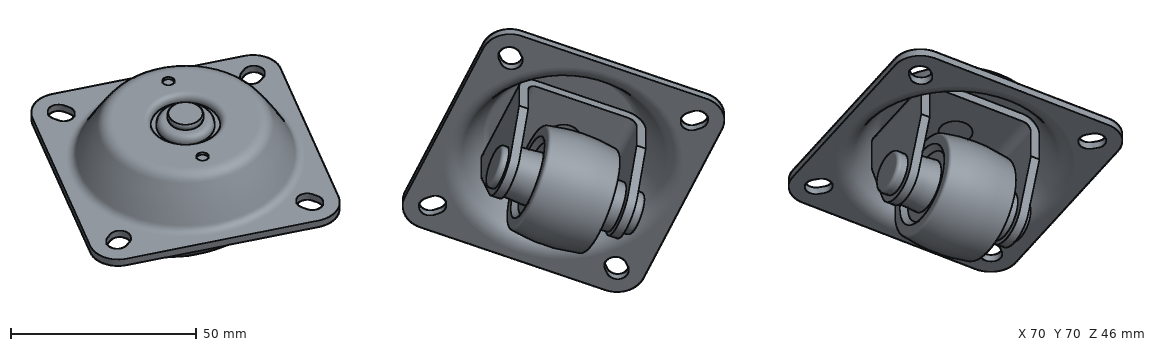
import cadquery as cq
import math


plate_side = 70.0
sheet_thickness = 2.4
plate_corner_radius = 7.85
slot_offset = 26.95
slot_width = 6.0
slot_length = 7.55
dome_top_z = 16.25
foot_radius = 32.2
wall_bottom_radius = 29.6
wall_bottom_z = 4.0
wall_top_radius = 23.65
wall_top_z = 14.2
flat_radius = 19.95
dome_hole_radius = 9.4
dome_hole_rounding = 1.9
dimple_offset = 16.0
dimple_radius = 1.7
dimple_depth = 0.85

axle_z = -11.8
tread_radius = 15.95
tread_edge_radius = 15.0
wheel_half_width = 10.5
rim_rounding = 0.9
recess_rim_radius = 11.7
recess_floor_radius = 10.15
recess_depth = recess_rim_radius - recess_floor_radius
hub_half_width = 15.5
hub_root_radius = 7.55
hub_end_radius = 7.1
hub_rounding = 0.3

fork_thickness = 2.65
fork_half_width = 18.55
fork_top_z = dome_top_z - sheet_thickness
fork_bend_radius = 2 * fork_thickness
leg_half_width = 13.15
leg_end_radius = 7.9
boss_radius = 7.9
boss_rounding = 1.95

kingpin_radius = 4.6
kingpin_top_z = 18.2
kingpin_head_radius = 5.0

axle_radius = 4.2
head_radius = 6.0
head_rounding = 1.05
front_head_end = -21.55
back_head_end = 20.5


def dome_section(depth):
    """Half section of the dome from its axis, with the curved surface moved inward by depth."""
    foot_slope = 2 * math.atan2(wall_bottom_z - sheet_thickness, foot_radius - wall_bottom_radius)
    shoulder_slope = 2 * math.atan2(dome_top_z - wall_top_z, wall_top_radius - flat_radius)

    joints = [
        (foot_radius, sheet_thickness, 0.0),
        (wall_bottom_radius, wall_bottom_z, foot_slope),
        (wall_top_radius, wall_top_z, shoulder_slope),
        (flat_radius, dome_top_z, 0.0),
    ]

    def moved_inward(radius, height, slope):
        return (radius - depth * math.sin(slope), height - depth * math.cos(slope))

    section = cq.Workplane("XZ").lineTo(foot_radius, 0)
    if depth < sheet_thickness:
        section = section.lineTo(*moved_inward(*joints[0]))
    for start, end in zip(joints, joints[1:]):
        run = end[0] - start[0]
        rise = end[1] - start[1]
        bulge = math.tan((start[2] - end[2]) / 4) / 2
        middle = (
            (start[0] + end[0]) / 2 + bulge * rise,
            (start[1] + end[1]) / 2 - bulge * run,
            (start[2] + end[2]) / 2,
        )
        section = section.threePointArc(moved_inward(*middle), moved_inward(*end))
    return section.lineTo(0, dome_top_z - depth).close()


def revolve_about_z(section):
    return section.revolve(360, (0, 0, 0), (0, 1, 0))


def make_housing():
    plate = (
        cq.Workplane("XY")
        .rect(plate_side, plate_side)
        .extrude(sheet_thickness)
        .edges("|Z")
        .fillet(plate_corner_radius)
    )
    housing = plate.union(revolve_about_z(dome_section(0)))
    housing = housing.cut(revolve_about_z(dome_section(sheet_thickness)))

    for angle in (45, 135, 225, 315):
        slot = (
            cq.Workplane("XY")
            .center(slot_offset * math.sqrt(2), 0)
            .slot2D(slot_length, slot_width)
            .extrude(sheet_thickness)
            .rotate((0, 0, 0), (0, 0, 1), angle)
        )
        housing = housing.cut(slot)

    hole = cq.Workplane("XY").circle(dome_hole_radius).extrude(dome_top_z)
    housing = housing.cut(hole)
    housing = housing.faces(">Z").edges(cq.selectors.RadiusNthSelector(0)).fillet(dome_hole_rounding)

    dimples = (
        cq.Workplane("XY", origin=(0, 0, dome_top_z))
        .pushPoints([(-dimple_offset, 0), (dimple_offset, 0)])
        .circle(dimple_radius)
        .extrude(-dimple_depth)
    )
    return housing.cut(dimples)


def make_fork():
    leg_end_z = axle_z - leg_end_radius
    strip_height = fork_top_z - leg_end_z
    strip_centre = (0, 0, (fork_top_z + leg_end_z) / 2)
    outside = (
        cq.Workplane("XY", origin=strip_centre)
        .box(2 * leg_half_width, 2 * fork_half_width, strip_height)
        .edges("|X and >Z")
        .fillet(fork_bend_radius)
    )
    inside = (
        cq.Workplane("XY", origin=strip_centre)
        .box(2 * leg_half_width, 2 * (fork_half_width - fork_thickness), strip_height)
        .translate((0, 0, -fork_thickness))
        .edges("|X and >Z")
        .fillet(fork_bend_radius - fork_thickness)
    )

    corner_distance = math.hypot(leg_half_width, axle_z)
    tangent_angle = math.atan2(-axle_z, leg_half_width) - math.acos(leg_end_radius / corner_distance)
    tangent_x = leg_end_radius * math.cos(tangent_angle)
    tangent_z = axle_z + leg_end_radius * math.sin(tangent_angle)
    outline = (
        cq.Workplane("XZ")
        .moveTo(-leg_half_width, fork_top_z)
        .lineTo(-leg_half_width, 0)
        .lineTo(-tangent_x, tangent_z)
        .threePointArc((0, leg_end_z), (tangent_x, tangent_z))
        .lineTo(leg_half_width, 0)
        .lineTo(leg_half_width, fork_top_z)
        .close()
        .extrude(fork_half_width, both=True)
    )
    fork = outside.cut(inside).intersect(outline)

    boss = (
        cq.Workplane("XY", origin=(0, 0, fork_top_z))
        .circle(boss_radius)
        .extrude(dome_top_z - fork_top_z)
        .faces(">Z")
        .edges()
        .fillet(boss_rounding)
    )
    fork = fork.union(boss)

    kingpin_hole = cq.Workplane("XY").circle(kingpin_radius).extrude(dome_top_z)
    axle_holes = (
        cq.Workplane("XZ", origin=(0, 0, axle_z))
        .circle(axle_radius)
        .extrude(fork_half_width, both=True)
    )
    return fork.cut(kingpin_hole).cut(axle_holes)


def make_kingpin():
    """Round pin through the fork, with a barrel-shaped head above the boss."""
    underside_z = fork_top_z - fork_thickness
    return revolve_about_z(
        cq.Workplane("XZ")
        .moveTo(0, underside_z)
        .lineTo(kingpin_radius, underside_z)
        .lineTo(kingpin_radius, dome_top_z)
        .threePointArc(
            (kingpin_head_radius, (dome_top_z + kingpin_top_z) / 2),
            (kingpin_radius, kingpin_top_z),
        )
        .lineTo(0, kingpin_top_z)
        .close()
    )


def make_wheel():
    """Crowned wheel with a bevelled recess around a tapered hub on both sides."""
    recess_y = wheel_half_width - recess_depth
    tread = (
        cq.Workplane("XY")
        .moveTo(axle_radius, -wheel_half_width)
        .lineTo(tread_edge_radius - rim_rounding, -wheel_half_width)
        .radiusArc((tread_edge_radius, rim_rounding - wheel_half_width), -rim_rounding)
        .threePointArc((tread_radius, 0), (tread_edge_radius, wheel_half_width - rim_rounding))
        .radiusArc((tread_edge_radius - rim_rounding, wheel_half_width), -rim_rounding)
        .lineTo(axle_radius, wheel_half_width)
        .close()
        .revolve(360, (0, 0, 0), (0, 1, 0))
    )
    recess = (
        cq.Workplane("XY")
        .moveTo(axle_radius, recess_y)
        .lineTo(recess_floor_radius, recess_y)
        .lineTo(recess_rim_radius, wheel_half_width)
        .lineTo(axle_radius, wheel_half_width)
        .close()
        .revolve(360, (0, 0, 0), (0, 1, 0))
    )
    hub = (
        cq.Workplane("XY")
        .moveTo(axle_radius, 0)
        .lineTo(hub_root_radius, 0)
        .lineTo(hub_root_radius, recess_y)
        .lineTo(hub_end_radius, hub_half_width)
        .lineTo(axle_radius, hub_half_width)
        .close()
        .revolve(360, (0, 0, 0), (0, 1, 0))
        .faces(">Y")
        .edges(cq.selectors.RadiusNthSelector(-1))
        .fillet(hub_rounding)
    )
    wheel = tread.cut(recess).cut(recess.mirror("XZ")).union(hub).union(hub.mirror("XZ"))
    return wheel.translate((0, 0, axle_z))


def make_axle():
    shaft = cq.Workplane("XZ", origin=(0, 0, axle_z)).circle(axle_radius).extrude(fork_half_width, both=True)
    front_head = (
        cq.Workplane("XZ", origin=(0, -fork_half_width, axle_z))
        .circle(head_radius)
        .extrude(-front_head_end - fork_half_width)
        .faces("<Y")
        .edges()
        .fillet(head_rounding)
    )
    back_head = (
        cq.Workplane("XZ", origin=(0, fork_half_width, axle_z))
        .circle(head_radius)
        .extrude(fork_half_width - back_head_end)
        .faces(">Y")
        .edges()
        .fillet(head_rounding)
    )
    return shaft.union(front_head).union(back_head)


housing = make_housing()
fork = make_fork()
kingpin = make_kingpin()
wheel = make_wheel()
axle = make_axle()

result = cq.Compound.makeCompound(
    [housing.val(), fork.val(), kingpin.val(), wheel.val(), axle.val()]
)